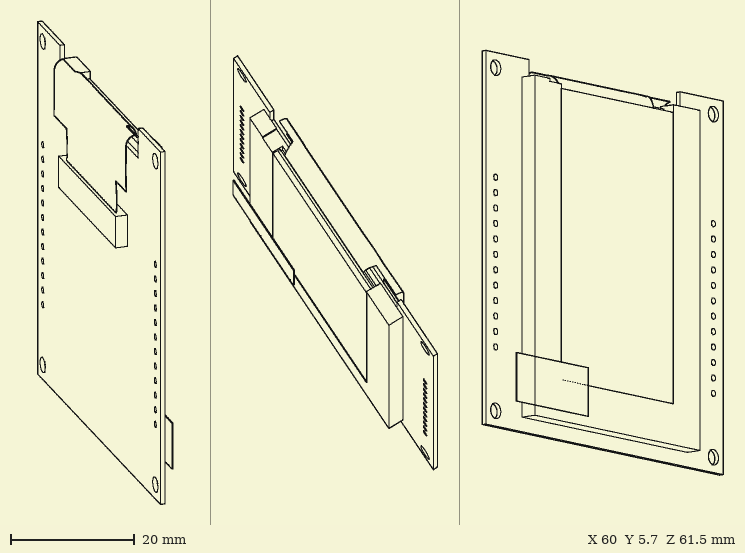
import cadquery as cq
import math


board_width = 60.0
board_height = 61.5
board_thickness = 0.8
notch_width = 38.2
notch_depth = 5.15
mount_hole_diameter = 2.5
hole_inset = 2.5
pin_hole_diameter = 1.0
pins_per_row = 12
pin_row_length = 27.9
pin_row_bottom = 13.05

connector_width = 27.75
connector_height = 5.5
connector_depth = 2.0
connector_top = board_height - 17.1

frame_width = 41.75
frame_height = 55.95
frame_depth = 2.7
frame_top = board_height - 3.15
frame_back = board_thickness + frame_depth
frame_floor = 0.75
opening_width = 28.2
opening_depth = 0.5
shelf_width = 2.95
pocket_bottom = frame_top - frame_height + (frame_width - opening_width) / 2

cap_thickness = 0.5
substrate_thickness = 0.4
cover_thickness = 0.9
glass_top = frame_top - 1.2
cap_top = glass_top - 1.2
cap_front = board_thickness + frame_floor
substrate_front = cap_front + cap_thickness
cover_front = substrate_front + substrate_thickness
cover_back = cover_front + cover_thickness

tab_left = 7.5
tab_bottom = 4.05
tab_width = 18.15
tab_height = 8.0
tab_thickness = 0.2

cable_thickness = 0.1
cable_width = 35.0
cable_shoulder = board_height - 11.5
neck_left = -11.6
neck_right = 12.5
tail_right = 13.4
tail_taper = 0.75
fold_radius = 1.6
fold_top = board_height - 1.7
fold_center_y = 0.1
fold_angle = math.radians(76)
cable_bow = 0.1


def block(x_range, y_range, z_range):
    """Box spanning the given (low, high) ranges."""
    (x0, x1), (y0, y1), (z0, z1) = x_range, y_range, z_range
    return cq.Workplane("XY").box(x1 - x0, y1 - y0, z1 - z0, centered=False).translate((x0, y0, z0))


def centered(width):
    """Range of the given width about X = 0."""
    return (-width / 2, width / 2)


def make_board():
    board = block(centered(board_width), (0, board_thickness), (0, board_height))
    board = board.cut(
        block(centered(notch_width), (0, board_thickness), (board_height - notch_depth, board_height))
    )
    hole_x = board_width / 2 - hole_inset
    pin_pitch = pin_row_length / (pins_per_row - 1)
    mount_points = [(x, z) for x in (-hole_x, hole_x) for z in (hole_inset, board_height - hole_inset)]
    pin_points = [
        (x, pin_row_bottom + i * pin_pitch) for x in (-hole_x, hole_x) for i in range(pins_per_row)
    ]
    for points, diameter in ((mount_points, mount_hole_diameter), (pin_points, pin_hole_diameter)):
        holes = cq.Workplane("XZ").pushPoints(points).circle(diameter / 2).extrude(-board_thickness)
        board = board.cut(holes)
    return board


def make_connector():
    return block(
        centered(connector_width),
        (-connector_depth, 0),
        (connector_top - connector_height, connector_top),
    )


def make_frame():
    frame = block(
        centered(frame_width), (board_thickness, frame_back), (frame_top - frame_height, frame_top)
    )
    opening = block(
        (-opening_width / 2, opening_width / 2 + shelf_width),
        (board_thickness, frame_back),
        (frame_top - opening_depth, frame_top),
    )
    pocket = block(centered(opening_width), (cap_front, frame_back), (pocket_bottom, frame_top))
    return frame.cut(opening).cut(pocket)


def make_cover_glass():
    return block(centered(opening_width), (cover_front, cover_back), (pocket_bottom, glass_top))


def make_display_glass():
    substrate = block(centered(opening_width), (substrate_front, cover_front), (pocket_bottom, glass_top))
    cap = block(centered(opening_width), (cap_front, substrate_front), (pocket_bottom, cap_top))
    return substrate.union(cap)


def make_tab():
    return block(
        (tab_left, tab_left + tab_width),
        (frame_back, frame_back + tab_thickness),
        (tab_bottom, tab_bottom + tab_height),
    )


def cable_side(radius):
    """Points along one side of the folded cable, from the display glass to the connector."""
    center_z = fold_top - fold_radius

    def on_fold(angle):
        return (fold_center_y + radius * math.sin(angle), center_z + radius * math.cos(angle))

    fold_start = on_fold(fold_angle)
    root_z = fold_start[1] - (substrate_front - fold_start[0]) * math.tan(fold_angle)
    root = (substrate_front, root_z)
    tip_y = fold_center_y - radius
    bow_y = tip_y - cable_bow
    bow_start = (bow_y, center_z - fold_radius)
    bow_middle = (bow_y, (center_z + connector_top) / 2)
    tip = (tip_y, connector_top)
    return [root, fold_start, on_fold(0), on_fold(-math.pi / 4), bow_start, bow_middle, tip]


def make_cable():
    outer_side = cable_side(fold_radius)
    inner_side = cable_side(fold_radius - cable_thickness)
    cable = (
        cq.Workplane("YZ", origin=(-cable_width / 2, 0, 0))
        .moveTo(*outer_side[0])
        .spline(outer_side[1:], includeCurrent=True)
        .lineTo(*inner_side[-1])
        .spline(inner_side[-2::-1], includeCurrent=True)
        .close()
        .extrude(cable_width)
    )
    tail = (
        cq.Workplane("XY")
        .moveTo(neck_left, 0)
        .lineTo(neck_left + tail_taper, substrate_front)
        .lineTo(tail_right - tail_taper, substrate_front)
        .lineTo(tail_right, 0)
        .close()
        .extrude(board_height)
    )
    front = (-connector_depth, 0)
    wide = block(centered(cable_width), front, (cable_shoulder, board_height))
    neck = block((neck_left, neck_right), front, (connector_top, cable_shoulder))
    return cable.intersect(tail.union(wide).union(neck))


board = make_board()
connector = make_connector()
frame = make_frame()
cover_glass = make_cover_glass()
display_glass = make_display_glass()
tab = make_tab()
cable = make_cable()

result = cq.Compound.makeCompound(
    [body.val() for body in (board, connector, frame, cover_glass, display_glass, tab, cable)]
)